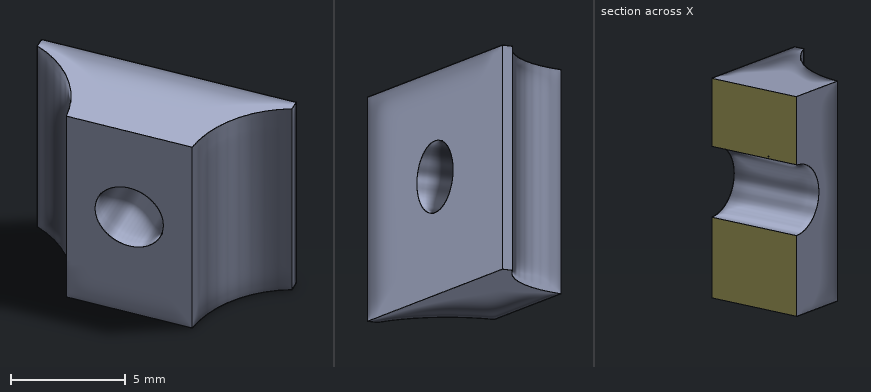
import cadquery as cq

width = 11.95
depth = 4.64
height = 10.0
narrow_width = 5.9
lip_thickness = 0.5
flank_radius = 5.0

hole_diameter = 3.2
hole_rise = 0.29

back_y = depth / 2
front_y = -depth / 2
lip_y = back_y - lip_thickness

profile = (
    cq.Workplane("XY")
    .workplane(offset=-height / 2)
    .moveTo(-width / 2, back_y)
    .lineTo(-width / 2, lip_y)
    .radiusArc((-narrow_width / 2, front_y), flank_radius)
    .lineTo(narrow_width / 2, front_y)
    .radiusArc((width / 2, lip_y), flank_radius)
    .lineTo(width / 2, back_y)
    .close()
)
body = profile.extrude(height)

hole = (
    cq.Workplane("XZ", origin=(0, back_y, hole_rise))
    .circle(hole_diameter / 2)
    .extrude(depth)
)

result = body.cut(hole)